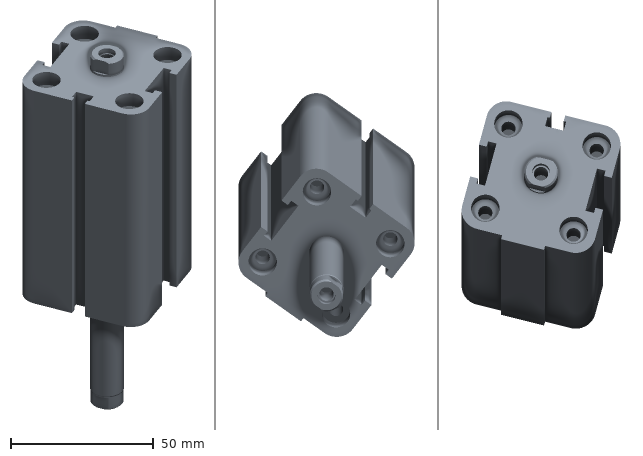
import cadquery as cq

HOUSING_SIDE = 48.0
HOUSING_HEIGHT = 89.5
CORNER_RADIUS = 7.0
PAD_WIDTH = 15.5
PAD_HEIGHT = 1.5

SIDE_SLOT_MOUTH = 12.0
SIDE_SLOT_CHANNEL = 16.0
SIDE_SLOT_LIP = 2.8
SIDE_SLOT_DEPTH = 5.9
FRONT_SLOT_MOUTH = 5.0
FRONT_SLOT_CHANNEL = 6.7
FRONT_SLOT_LIP = 2.2
FRONT_SLOT_DEPTH = 5.5

MOUNT_PITCH = 32.0
MOUNT_DIAMETER = 5.0
MOUNT_DEPTH = 14.5
COUNTERBORE_DIAMETER = 10.0
COUNTERBORE_DEPTH = 5.4

ROD_DIAMETER = 12.0
ROD_LENGTH = 146.5
ROD_ABOVE_HOUSING = 6.0
TIP_DIAMETER = 11.7
TIP_LENGTH = 6.0
TIP_CHAMFER = 0.6
SHOULDER_LENGTH = 0.5
FLAT_WIDTH = 10.1
FLAT_LENGTH = 5.3
ROD_HOLE_DIAMETER = 5.0
ROD_HOLE_DEPTH = 11.7
ROD_COUNTERBORE_DIAMETER = 6.2
ROD_COUNTERBORE_DEPTH = 2.0

HALF_SIDE = HOUSING_SIDE / 2
HALF_LENGTH = ROD_LENGTH / 2
HOUSING_TOP = ROD_LENGTH - ROD_ABOVE_HOUSING
HOUSING_BOTTOM = HOUSING_TOP - HOUSING_HEIGHT


def t_slot(mouth, channel, lip, depth):
    """Full-height T-slot cutter for the -Y face of the housing."""
    profile = (
        cq.Workplane("XY", origin=(0, -HALF_SIDE, HOUSING_BOTTOM))
        .moveTo(-mouth / 2, 0)
        .lineTo(-mouth / 2, lip)
        .lineTo(-channel / 2, lip)
        .lineTo(-channel / 2, depth)
        .lineTo(channel / 2, depth)
        .lineTo(channel / 2, lip)
        .lineTo(mouth / 2, lip)
        .lineTo(mouth / 2, 0)
        .close()
    )
    return profile.extrude(HOUSING_HEIGHT)


def make_housing():
    base = cq.Workplane("XY", origin=(0, 0, HOUSING_BOTTOM))
    housing = base.rect(HOUSING_SIDE, HOUSING_SIDE).extrude(HOUSING_HEIGHT)
    housing = housing.edges("|Z").fillet(CORNER_RADIUS)

    pad = base.center(0, HALF_SIDE).rect(PAD_WIDTH, 2 * PAD_HEIGHT).extrude(HOUSING_HEIGHT)
    housing = housing.union(pad)

    housing = housing.cut(t_slot(FRONT_SLOT_MOUTH, FRONT_SLOT_CHANNEL, FRONT_SLOT_LIP, FRONT_SLOT_DEPTH))
    side_slot = t_slot(SIDE_SLOT_MOUTH, SIDE_SLOT_CHANNEL, SIDE_SLOT_LIP, SIDE_SLOT_DEPTH)
    for angle in (90, -90):
        housing = housing.cut(side_slot.rotate((0, 0, 0), (0, 0, 1), angle))

    for face in (">Z", "<Z"):
        housing = (
            housing.faces(face)
            .workplane(origin=(0, 0, 0))
            .rect(MOUNT_PITCH, MOUNT_PITCH, forConstruction=True)
            .vertices()
            .cboreHole(MOUNT_DIAMETER, COUNTERBORE_DIAMETER, COUNTERBORE_DEPTH, MOUNT_DEPTH)
        )

    return housing.cut(base.circle(ROD_DIAMETER / 2).extrude(HOUSING_HEIGHT))


def make_half_rod():
    """Upper half of the rod, from its middle plane up to its tip."""
    shaft_end = ROD_LENGTH - TIP_LENGTH
    tip_start = shaft_end + SHOULDER_LENGTH
    rod_radius = ROD_DIAMETER / 2
    tip_radius = TIP_DIAMETER / 2
    profile = (
        cq.Workplane("XZ")
        .moveTo(0, HALF_LENGTH)
        .lineTo(rod_radius, HALF_LENGTH)
        .lineTo(rod_radius, shaft_end)
        .lineTo(tip_radius, tip_start)
        .lineTo(tip_radius, ROD_LENGTH - TIP_CHAMFER)
        .lineTo(tip_radius - TIP_CHAMFER, ROD_LENGTH)
        .lineTo(0, ROD_LENGTH)
        .close()
    )
    half = profile.revolve(360, (0, 0, 0), (0, 1, 0))

    flats_base = cq.Workplane("XY", origin=(0, 0, ROD_LENGTH - FLAT_LENGTH))
    waste = (
        flats_base.rect(2 * TIP_DIAMETER, 2 * TIP_DIAMETER)
        .rect(2 * TIP_DIAMETER, FLAT_WIDTH)
        .extrude(FLAT_LENGTH)
    )
    half = half.cut(waste)

    end_face = half.faces(">Z").workplane()
    return end_face.cboreHole(
        ROD_HOLE_DIAMETER, ROD_COUNTERBORE_DIAMETER, ROD_COUNTERBORE_DEPTH, ROD_HOLE_DEPTH
    )


def make_rod():
    upper_half = make_half_rod()
    lower_half = upper_half.mirror("XY", (0, 0, HALF_LENGTH))
    return upper_half.union(lower_half)


housing = make_housing()
rod = make_rod()

result = cq.Compound.makeCompound([housing.val(), rod.val()])